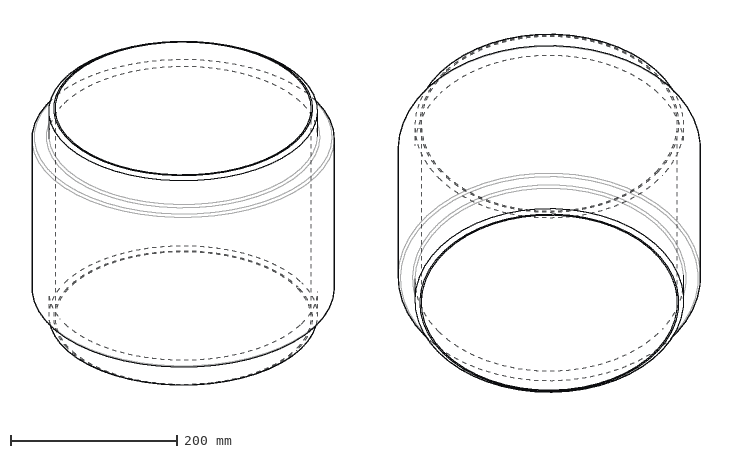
import cadquery as cq

body_radius = 182.0
total_height = 295.0
bore_radius = 154.0

neck_radius = 161.5
neck_length = 40.0
bevel_width = 6.0
bevel_height = 3.5

body_edge_round = 3.0
neck_root_fillet = 3.0

body_height = total_height - 2 * neck_length


def cylinder(radius, height):
    """Solid cylinder about Z, centred on the origin."""
    return cq.Workplane("XY").cylinder(height, radius)


def beveled_neck():
    """Full-height core with a weld bevel at both ends, revolved about Z."""
    end = total_height / 2
    bevel_start = end - bevel_height
    face_radius = neck_radius - bevel_width
    return (
        cq.Workplane("XZ")
        .moveTo(0, -end)
        .lineTo(face_radius, -end)
        .lineTo(neck_radius, -bevel_start)
        .lineTo(neck_radius, bevel_start)
        .lineTo(face_radius, end)
        .lineTo(0, end)
        .close()
        .revolve(360, (0, 0, 0), (0, 1, 0))
    )


def neck_root_edges(part):
    """Circles where the necks meet the flat shoulders of the body."""
    shoulder = body_height / 2
    reach = neck_radius + neck_root_fillet
    return part.edges(
        cq.selectors.BoxSelector(
            (-reach, -reach, -shoulder - neck_root_fillet),
            (reach, reach, shoulder + neck_root_fillet),
            boundingbox=True,
        )
    )


body = cylinder(body_radius, body_height).edges("%CIRCLE").fillet(body_edge_round)
stepped = body.union(beveled_neck())
filleted = neck_root_edges(stepped).fillet(neck_root_fillet)
result = filleted.cut(cylinder(bore_radius, total_height))